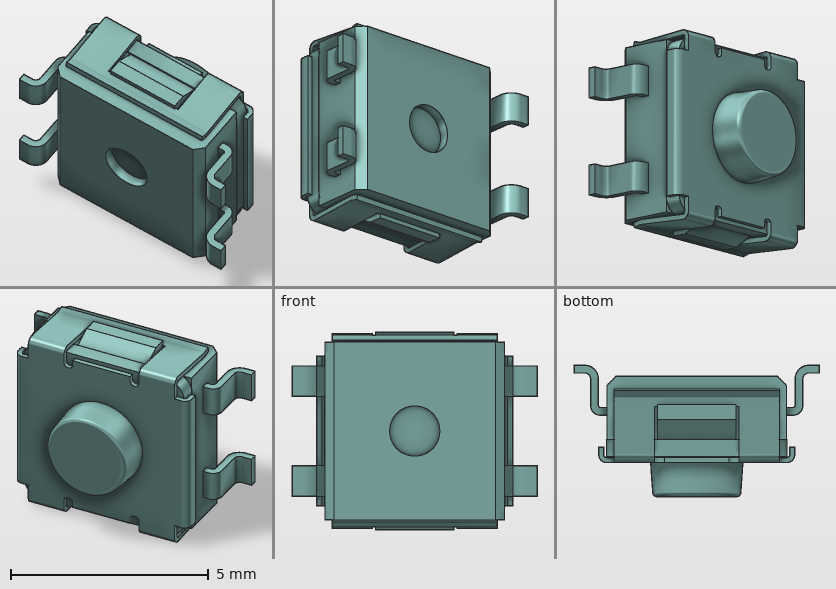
import cadquery as cq
import math


TOTAL_WIDTH = 6.2
TOTAL_HEIGHT = 3.33
TOTAL_LENGTH = 5.0

BODY_WIDTH = 4.54
BODY_LENGTH = 4.49
BODY_BOTTOM = 0.28
BODY_SHOULDER = 1.885
BODY_CHAMFER = 0.23
COLLAR_SIZE = 4.57
COLLAR_CORNER_RADIUS = 0.465
HOLE_RADIUS = 0.635
HOLE_DEPTH = 0.27

SHEET = 0.13
BEND_OUTER = 0.2
BEND_INNER = BEND_OUTER - SHEET
COVER_TOP = 2.465
COVER_UNDERSIDE = COVER_TOP - SHEET
COVER_CLEARANCE = 0.02
COLLAR_TOP = COVER_UNDERSIDE - COVER_CLEARANCE
FLANGE_SPAN = 4.96
FLANGE_LENGTH = 3.79
FLANGE_TIP = 2.075
CLIP_WIDTH = 4.18
CLIP_SLANT = 3.8
LIP_ANGLE = 15.5
LIP_LENGTH = 0.22
KINK_LEVEL = 0.82
KINK_INTERFERENCE = 0.005
KINK_RADIUS = 0.12
WINDOW_WIDTH = 2.14
WINDOW_BOTTOM = 1.04
PLATE_EDGE = 2.19
RELIEF_WIDTH = 0.25
RELIEF_DEPTH = 0.25

LATCH_WIDTH = 1.98
LATCH_BOTTOM = 1.0
LATCH_CREST = 1.38

BUTTON_BASE_RADIUS = 1.17
BUTTON_TIP_RADIUS = 1.11
BUTTON_EDGE_RADIUS = 0.115

LEAD_WIDTH = 0.775
LEAD_PITCH = 2.525
LEAD_THICKNESS = 0.2
LEAD_TOP = 1.27
LEAD_SHOULDER = 2.685
LEAD_UPPER_INNER_RADIUS = 0.05
LEAD_LOWER_INNER_RADIUS = 0.15
LEAD_EMBED = 0.2


def box(x_size, y_min, y_max, z_size):
    """Block centred on X and Z, spanning y_min to y_max."""
    return cq.Workplane("XY").box(x_size, y_max - y_min, z_size).translate((0, (y_min + y_max) / 2, 0))


def with_mirror(solid, plane):
    return solid.union(solid.mirror(plane))


def extruded_along_x(profile, width):
    """Extrude a closed YZ profile symmetrically about X = 0."""
    return profile.extrude(width / 2, both=True)


def fillet_near(solid, point, radius):
    return solid.edges(cq.NearestToPointSelector(point)).fillet(radius)


def make_housing():
    base = box(BODY_WIDTH, BODY_BOTTOM, BODY_SHOULDER, BODY_LENGTH)
    base = base.faces("<Y").edges("|Z").chamfer(BODY_CHAMFER)
    collar = box(COLLAR_SIZE, BODY_SHOULDER, COLLAR_TOP, COLLAR_SIZE)
    collar = collar.edges("|Y").fillet(COLLAR_CORNER_RADIUS)
    hole = cq.Workplane("XZ").circle(HOLE_RADIUS).extrude(-(BODY_BOTTOM + HOLE_DEPTH))
    return base.union(collar).cut(hole)


def make_latches():
    side = BODY_LENGTH / 2
    crest = TOTAL_LENGTH / 2
    profile = cq.Workplane("YZ").polyline([
        (LATCH_BOTTOM, 0),
        (LATCH_BOTTOM, crest),
        (LATCH_CREST, crest),
        (BODY_SHOULDER, side),
        (BODY_SHOULDER, 0),
    ]).close()
    return with_mirror(extruded_along_x(profile, LATCH_WIDTH), "XY")


def make_flanges():
    """Channel with the cover plate and the two short flanges on the X sides."""
    outer = box(FLANGE_SPAN, FLANGE_TIP, COVER_TOP, FLANGE_LENGTH)
    outer = outer.faces(">Y").edges("|Z").fillet(BEND_OUTER)
    inner = box(FLANGE_SPAN - 2 * SHEET, FLANGE_TIP, COVER_UNDERSIDE, FLANGE_LENGTH)
    inner = inner.faces(">Y").edges("|Z").fillet(BEND_INNER)
    return outer.cut(inner)


def make_clip_half():
    """Cover plate half with the slanted side wall and flared lip on +Z."""
    slant = math.radians(CLIP_SLANT)
    lip = math.radians(LIP_ANGLE)
    mitre_tilt = (lip - slant) / 2
    mitre_length = SHEET / math.cos((lip + slant) / 2)

    kink_in_y = KINK_LEVEL
    kink_in_z = BODY_LENGTH / 2 - KINK_INTERFERENCE
    kink_out_y = kink_in_y + mitre_length * math.sin(mitre_tilt)
    kink_out_z = kink_in_z + mitre_length * math.cos(mitre_tilt)
    tip_in_y = kink_in_y - LIP_LENGTH * math.cos(lip)
    tip_in_z = kink_in_z + LIP_LENGTH * math.sin(lip)
    tip_out_y = tip_in_y + SHEET * math.sin(lip)
    tip_out_z = tip_in_z + SHEET * math.cos(lip)
    corner_out_z = kink_out_z + (COVER_TOP - kink_out_y) * math.tan(slant)
    corner_in_z = kink_in_z + (COVER_UNDERSIDE - kink_in_y) * math.tan(slant)

    profile = cq.Workplane("YZ").polyline([
        (COVER_TOP, 0),
        (COVER_TOP, corner_out_z),
        (kink_out_y, kink_out_z),
        (tip_out_y, tip_out_z),
        (tip_in_y, tip_in_z),
        (kink_in_y, kink_in_z),
        (COVER_UNDERSIDE, corner_in_z),
        (COVER_UNDERSIDE, 0),
    ]).close()
    clip = extruded_along_x(profile, CLIP_WIDTH)
    clip = fillet_near(clip, (0, COVER_TOP, corner_out_z), BEND_OUTER)
    clip = fillet_near(clip, (0, COVER_UNDERSIDE, corner_in_z), BEND_INNER)
    return fillet_near(clip, (0, kink_out_y, kink_out_z), KINK_RADIUS)


def make_window_cutter():
    """Window through the +Z wall, with a round-ended relief slot in the plate at each end."""
    length = TOTAL_LENGTH / 2 - PLATE_EDGE
    window = box(WINDOW_WIDTH, WINDOW_BOTTOM, COVER_TOP, length)
    cutter = window.translate((0, 0, PLATE_EDGE + length / 2))
    relief_end_z = PLATE_EDGE - RELIEF_DEPTH + RELIEF_WIDTH / 2
    relief_x = (WINDOW_WIDTH - RELIEF_WIDTH) / 2
    slot_length = PLATE_EDGE - relief_end_z
    slot = box(RELIEF_WIDTH, COVER_UNDERSIDE, COVER_TOP, slot_length)
    slot = slot.translate((0, 0, relief_end_z + slot_length / 2))
    round_end = cq.Workplane("XZ", origin=(0, COVER_UNDERSIDE, relief_end_z))
    round_end = round_end.circle(RELIEF_WIDTH / 2).extrude(-SHEET)
    relief = slot.union(round_end).translate((relief_x, 0, 0))
    return cutter.union(with_mirror(relief, "YZ"))


def make_cover():
    clip = make_clip_half().cut(make_window_cutter())
    flanges = make_flanges()
    return flanges.union(with_mirror(clip, "XY"))


def make_button():
    profile = cq.Workplane("XY").polyline([
        (0, COLLAR_TOP),
        (BUTTON_BASE_RADIUS, COLLAR_TOP),
        (BUTTON_BASE_RADIUS, COVER_TOP),
        (BUTTON_TIP_RADIUS, TOTAL_HEIGHT),
        (0, TOTAL_HEIGHT),
    ]).close()
    button = profile.revolve(360, (0, 0, 0), (0, 1, 0))
    return button.faces(">Y").edges().fillet(BUTTON_EDGE_RADIUS)


def make_lead():
    """Gull-wing lead on +X, centred on Z = 0."""
    root_x = BODY_WIDTH / 2 - LEAD_EMBED
    inner_x = LEAD_SHOULDER - LEAD_THICKNESS
    foot_x = TOTAL_WIDTH / 2
    underside = LEAD_TOP - LEAD_THICKNESS
    lead = cq.Workplane("XY").polyline([
        (root_x, LEAD_TOP),
        (LEAD_SHOULDER, LEAD_TOP),
        (LEAD_SHOULDER, LEAD_THICKNESS),
        (foot_x, LEAD_THICKNESS),
        (foot_x, 0),
        (inner_x, 0),
        (inner_x, underside),
        (root_x, underside),
    ]).close().extrude(LEAD_WIDTH / 2, both=True)
    lead = fillet_near(lead, (LEAD_SHOULDER, LEAD_TOP, 0), LEAD_UPPER_INNER_RADIUS + LEAD_THICKNESS)
    lead = fillet_near(lead, (inner_x, underside, 0), LEAD_UPPER_INNER_RADIUS)
    lead = fillet_near(lead, (inner_x, 0, 0), LEAD_LOWER_INNER_RADIUS + LEAD_THICKNESS)
    return fillet_near(lead, (LEAD_SHOULDER, LEAD_THICKNESS, 0), LEAD_LOWER_INNER_RADIUS)


def make_leads():
    lead_pair = with_mirror(make_lead().translate((0, 0, LEAD_PITCH / 2)), "XY")
    return with_mirror(lead_pair, "YZ")


result = (
    make_housing()
    .union(make_latches())
    .union(make_leads())
    .union(make_cover())
    .union(make_button())
)